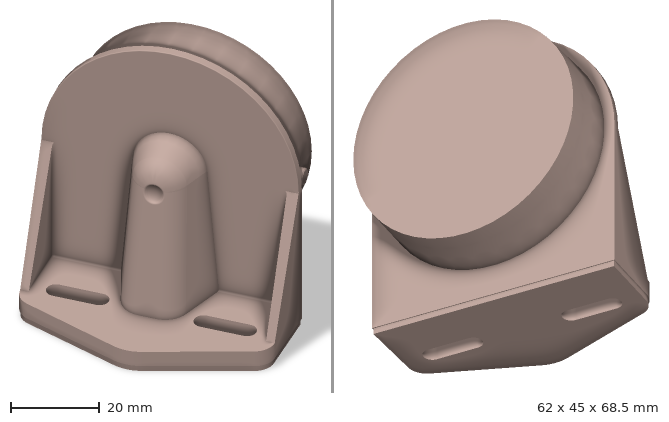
import cadquery as cq
import math


half_width = 31.0
axis_height = 37.5
wall_thickness = 2.0
side_draft = 1.3
wall_edge_round = 0.2

base_tip_depth = 30.5
base_front_angle = 20.0
base_tip_radius = 10.0
base_corner_radius = 5.0
base_top_height = 5.9
base_top_fall = 1.0
foot_height = 1.5
foot_inset = 0.25

slot_length = 15.0
slot_width = 4.5
slot_offset = 17.75
slot_depth = 14.1

rib_width = 2.8
rib_inner_draft = 1.3
rib_foot_depth = 16.8
rib_top_height = 37.3
root_fillet = 0.5

boss_radius = 9.0
boss_side_angle = 5.0
boss_draft = 20.0
boss_end_depth = 12.6
boss_front_lean = 7.7
boss_fillet = 6.0

dimple_height = 36.85
dimple_sphere_radius = 2.5
dimple_sphere_offset = 1.0
dimple_edge_round = 0.4

drum_length = 14.5
drum_root_radius = 28.4
drum_end_radius = 28.1

pin_radius = 2.1
pin_reach = 30.2
pin_offset = 4.4
pin_chamfer = 0.25


def tan(degrees):
    return math.tan(math.radians(degrees))


def sin(degrees):
    return math.sin(math.radians(degrees))


def cos(degrees):
    return math.cos(math.radians(degrees))


def facing_front(depth):
    """Sketch plane facing the front at a given depth; its axes run along X and Z."""
    return cq.Workplane("XZ", origin=(0, -depth, 0))


def make_drafted_arch(depth):
    """Prism of the wall outline, narrowing towards the front, cut off flat at the underside."""
    arch = (
        facing_front(0)
        .moveTo(-half_width, -half_width)
        .lineTo(-half_width, axis_height)
        .threePointArc((0, axis_height + half_width), (half_width, axis_height))
        .lineTo(half_width, -half_width)
        .close()
        .extrude(depth, taper=side_draft)
    )
    above_underside = cq.Workplane("XY").rect(4 * half_width, 4 * half_width).extrude(4 * half_width)
    return arch.intersect(above_underside)


def make_base_prism(height):
    """Upright prism of the base outline: drafted sides, swept front, rounded tip and corners."""
    sharp_tip_depth = base_tip_depth + base_tip_radius / cos(base_front_angle) - base_tip_radius
    corner_depth = (sharp_tip_depth - half_width * tan(base_front_angle)) / (
        1 - tan(side_draft) * tan(base_front_angle)
    )
    corner_x = half_width - corner_depth * tan(side_draft)
    prism = (
        cq.Workplane("XY")
        .moveTo(-half_width, 0)
        .lineTo(half_width, 0)
        .lineTo(corner_x, -corner_depth)
        .lineTo(0, -sharp_tip_depth)
        .lineTo(-corner_x, -corner_depth)
        .close()
        .extrude(height)
    )
    prism = prism.edges("|Z and <Y").fillet(base_tip_radius)
    for side in (-1, 1):
        corner = cq.selectors.NearestToPointSelector((side * corner_x, -corner_depth, height / 2))
        prism = prism.edges("|Z").edges(corner).fillet(base_corner_radius)
    return prism


def base_top(depth):
    """Height of the sloping top face of the base at a given depth."""
    return base_top_height - (depth - wall_thickness) * tan(base_top_fall)


def make_side_prism(points):
    """Prism across the full width from a profile of (depth, height) points."""
    profile = [(-depth, height) for depth, height in points]
    return cq.Workplane("YZ").polyline(profile).close().extrude(2 * half_width, both=True)


def make_wall():
    wall = make_drafted_arch(wall_thickness).faces("<Y").edges("%CIRCLE").fillet(wall_edge_round)
    far = 2 * axis_height
    return wall.intersect(make_side_prism([(0, foot_height), (0, far), (far, far), (far, foot_height)]))


def make_base():
    plate = make_base_prism(2 * base_top_height)
    far = 2 * base_tip_depth
    return plate.intersect(
        make_side_prism([(0, foot_height), (0, base_top(0)), (far, base_top(far)), (far, foot_height)])
    )


def make_foot():
    """Lowest layer of the part, stepped in all round."""
    outline = make_base_prism(foot_height).faces("<Z").wires()
    return cq.Workplane("XY").add(outline.vals()).toPending().offset2D(-foot_inset).extrude(foot_height)


def make_rib_space():
    """Open space between the ribs, rounded where it meets the wall, the ribs and the base."""
    space_length = rib_foot_depth - wall_thickness
    inner_back = half_width - rib_width
    inner_front = inner_back + space_length * tan(rib_inner_draft)
    space = (
        cq.Workplane("XY")
        .moveTo(-inner_back, -wall_thickness)
        .lineTo(inner_back, -wall_thickness)
        .lineTo(inner_front, -rib_foot_depth)
        .lineTo(-inner_front, -rib_foot_depth)
        .close()
        .extrude(2 * axis_height)
    )
    far = 2 * axis_height
    space = space.intersect(
        make_side_prism([(0, base_top(0)), (0, far), (far, far), (far, base_top(far))])
    )
    root_edges = space.faces("<Z or >Y").edges("not(<Y or >Z)")
    return root_edges.fillet(root_fillet)


def make_bracket():
    """Wall, base and foot, joined by a rib on each side."""
    rib_foot = base_top(rib_foot_depth)
    slope = (rib_top_height - rib_foot) / (rib_foot_depth - wall_thickness)
    rib_profile = [
        (0, foot_height),
        (0, rib_top_height + wall_thickness * slope),
        (rib_foot_depth, rib_foot),
        (rib_foot_depth, foot_height),
    ]
    ribs = make_drafted_arch(rib_foot_depth).intersect(make_side_prism(rib_profile)).cut(make_rib_space())
    below_axis = make_side_prism(
        [(0, 0), (0, axis_height), (rib_foot_depth, axis_height), (rib_foot_depth, 0)]
    )
    return make_wall().union(ribs.intersect(below_axis)).union(make_base()).union(make_foot())


def make_boss():
    """Tapered boss with a round top, splayed sides, a leaning front and rounded front edges."""
    tangent_x = boss_radius * cos(boss_side_angle)
    tangent_z = axis_height + boss_radius * sin(boss_side_angle)
    below_z = -axis_height
    below_x = tangent_x + (tangent_z - below_z) * tan(boss_side_angle)
    blank = (
        facing_front(wall_thickness)
        .moveTo(-below_x, below_z)
        .lineTo(-tangent_x, tangent_z)
        .threePointArc((0, axis_height + boss_radius), (tangent_x, tangent_z))
        .lineTo(below_x, below_z)
        .close()
        .extrude(2 * boss_end_depth, taper=boss_draft)
    )
    foot_depth = boss_end_depth + (axis_height - foot_height) * tan(boss_front_lean)
    top = 2 * axis_height
    boss = blank.intersect(
        make_side_prism([
            (0, foot_height),
            (0, top),
            (boss_end_depth, top),
            (boss_end_depth, axis_height),
            (foot_depth, foot_height),
        ])
    )
    around_front = cq.selectors.BoxSelector(
        (-half_width, -foot_depth, 0), (half_width, 1 - boss_end_depth, top)
    )
    return boss.edges("not |X").edges(around_front).fillet(boss_fillet)


def cut_dimple(body):
    """Shallow round hollow in the boss front with a rounded rim."""
    centre = (0, -boss_end_depth - dimple_sphere_offset, dimple_height)
    body = body.cut(cq.Workplane("XY").sphere(dimple_sphere_radius).translate(centre))
    deepest_point = (0, centre[1] + dimple_sphere_radius, dimple_height)
    hollow = body.faces(cq.selectors.NearestToPointSelector(deepest_point))
    return hollow.edges().fillet(dimple_edge_round)


def cut_slots(body):
    slots = (
        cq.Workplane("XY")
        .pushPoints([(-slot_offset, -slot_depth), (slot_offset, -slot_depth)])
        .slot2D(slot_length, slot_width)
        .extrude(2 * base_top_height)
    )
    return body.cut(slots)


def make_drum():
    """Slightly tapered disc behind the wall, centred on the common axis."""
    return (
        cq.Workplane("XY")
        .polyline([(0, 0), (drum_root_radius, 0), (drum_end_radius, drum_length), (0, drum_length)])
        .close()
        .revolve(360, (0, 0, 0), (0, 1, 0))
        .translate((0, 0, axis_height))
    )


def make_pin():
    """Short round pin pointing sideways out of the drum."""
    pin = cq.Workplane("YZ").center(pin_offset, axis_height).circle(pin_radius).extrude(pin_reach)
    return pin.faces(">X").chamfer(pin_chamfer)


boss = cut_dimple(make_boss())
bracket = cut_slots(make_bracket())
result = bracket.union(boss).union(make_drum()).union(make_pin())